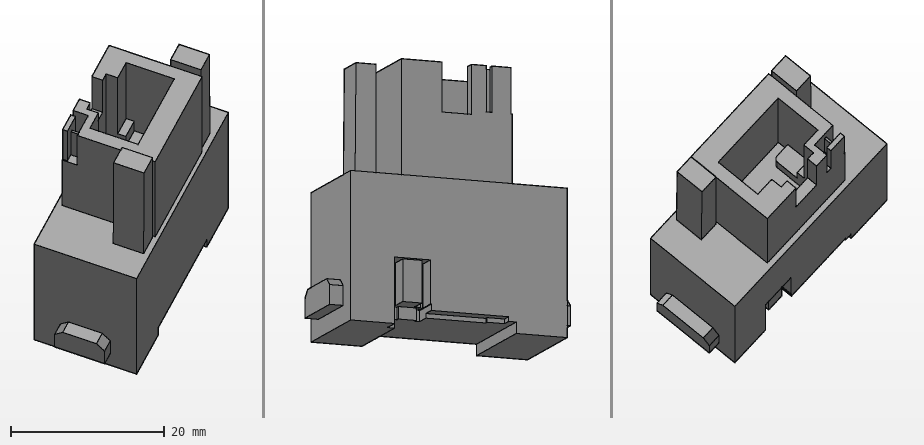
import cadquery as cq

BODY_X = 14.6
BODY_Y = 30.3
BODY_Z = 20.0
FACE_X = -BODY_X / 2
TOTAL_Y = 34.1
TOTAL_Z = 36.7

TOWER_X = (-6.5, 6.75)
TOWER_HALF_Y = 7.75
TOWER_TOP = TOTAL_Z - 1.0

CAVITY_X = (-3.3, 3.55)
CAVITY_HALF_Y = 5.97
CHANNEL_X = -4.95
CHANNEL_HALF_Y = 3.2
WINDOW_HALF_Y = 2.05
WINDOW_SILL = 29.0
LEDGE_END_X = 1.9
LEDGE_TOP = 22.0
LEDGE_FILLET = 0.65
STEP_END_X = -2.15
STEP_TOP = 24.0

NOTCH_X = -4.35
NOTCH_Y = -4.12
NOTCH_FLOOR = 29.5
TAB_THICKNESS = 0.7
TAB_Y = (-7.6, -4.9)
RIB_FAR_Y = -6.1
RIB_NEAR_TOP_Y = -6.4
RIB_NEAR_FOOT_Y = -6.5
RIB_TOP = 34.2

POST_X = (2.15, 6.48)
POST_INNER_Y = 8.0
POST_TOP_Y = 10.8
POST_FOOT_Y = 10.95

PEG_Z = (2.5, 6.15)
PEG_CHAMFER_Z = 1.0
PEG_FRONT_WIDTH = 7.1
PEG_FRONT_CHAMFER = 1.15
PEG_BACK_WIDTH = 9.1
PEG_BACK_CHAMFER = 1.05

FOOT_INNER_Y = 8.0
UNDERSIDE_Z = 1.53

POCKET_Y = (4.0, 9.0)
POCKET_TOP = 8.9
POCKET_BACK_X = -4.65
POCKET_FLARE_Y = 3.88
POCKET_FLARE_TOP = 3.0
RECESS_Y = (4.1, FOOT_INNER_Y)
RECESS_BACK_X = -4.0
LATCH_Y = (4.95, 7.6)
LATCH_FRONT_X = -6.6
LATCH_BOTTOM = 3.2
LOWER_BACK_X = -3.0
LOWER_RIB_Y = (4.53, 7.04)
LOWER_RIB_FRONT_X = -3.5

RELIEF_TOP = 2.15
RELIEF_Y = (-6.93, POCKET_FLARE_Y)
RELIEF_STEP_Y = -4.5
RELIEF_DEPTH = 2.0
RELIEF_END_DEPTH = 1.5


def box(x_range, y_range, z_range):
    """Axis-aligned block given by its limits along X, Y and Z."""
    size = [limits[1] - limits[0] for limits in (x_range, y_range, z_range)]
    corner = (x_range[0], y_range[0], z_range[0])
    return cq.Workplane("XY").box(*size, centered=False).translate(corner)


def symmetric(half):
    return (-half, half)


def make_body():
    body = box(symmetric(BODY_X / 2), symmetric(BODY_Y / 2), (0, BODY_Z))
    return body.cut(box(symmetric(BODY_X / 2), symmetric(FOOT_INNER_Y), (0, UNDERSIDE_Z)))


def make_peg(width, chamfer, side):
    """Chamfered peg running from an end face out to the overall length."""
    half = width / 2
    shoulder = PEG_Z[1] - PEG_CHAMFER_Z
    outline = [
        (-half, PEG_Z[0]),
        (half, PEG_Z[0]),
        (half, shoulder),
        (half - chamfer, PEG_Z[1]),
        (chamfer - half, PEG_Z[1]),
        (-half, shoulder),
    ]
    peg_length = (TOTAL_Y - BODY_Y) / 2
    peg = cq.Workplane("XZ").polyline(outline).close().extrude(-side * peg_length)
    return peg.translate((0, side * BODY_Y / 2, 0))


def make_post(side):
    outline = [
        (side * POST_INNER_Y, BODY_Z),
        (side * POST_FOOT_Y, BODY_Z),
        (side * POST_TOP_Y, TOTAL_Z),
        (side * POST_INNER_Y, TOTAL_Z),
    ]
    post = cq.Workplane("YZ").polyline(outline).close().extrude(POST_X[1] - POST_X[0])
    return post.translate((POST_X[0], 0, 0))


def make_ledge(side):
    """Two-level ledge in one corner of the cavity, beside the middle channel."""
    y_range = sorted((side * CHANNEL_HALF_Y, side * CAVITY_HALF_Y))
    ledge = box((CAVITY_X[0], LEDGE_END_X), y_range, (BODY_Z, LEDGE_TOP))
    inner_corner = f">X and {'<Y' if side > 0 else '>Y'}"
    ledge = ledge.edges("|Z").edges(inner_corner).fillet(LEDGE_FILLET)
    return ledge.union(box((CAVITY_X[0], STEP_END_X), y_range, (BODY_Z, STEP_TOP)))


def make_tower():
    height = (BODY_Z, TOWER_TOP)
    tower = box(TOWER_X, symmetric(TOWER_HALF_Y), height)
    tower = tower.cut(box(CAVITY_X, symmetric(CAVITY_HALF_Y), height))
    tower = tower.cut(box((CHANNEL_X, CAVITY_X[0]), symmetric(CHANNEL_HALF_Y), height))
    window_x = (TOWER_X[0], CHANNEL_X)
    return tower.cut(box(window_x, symmetric(WINDOW_HALF_Y), (WINDOW_SILL, TOWER_TOP)))


def make_corner_notch():
    return box((TOWER_X[0], NOTCH_X), (-TOWER_HALF_Y, NOTCH_Y), (NOTCH_FLOOR, TOWER_TOP))


def make_tab():
    """Upright tab flush with the tower face, and the rib behind it."""
    tab_back_x = TOWER_X[0] + TAB_THICKNESS
    tab = box((TOWER_X[0], tab_back_x), TAB_Y, (NOTCH_FLOOR, TOWER_TOP))
    rib_outline = [
        (RIB_FAR_Y, NOTCH_FLOOR),
        (RIB_NEAR_FOOT_Y, NOTCH_FLOOR),
        (RIB_NEAR_TOP_Y, RIB_TOP),
        (RIB_FAR_Y, RIB_TOP),
    ]
    rib = cq.Workplane("YZ").polyline(rib_outline).close().extrude(NOTCH_X - tab_back_x)
    return tab.union(rib.translate((tab_back_x, 0, 0)))


def make_latch_pocket():
    """Stepped pocket volume, with the latch block and lower rib left standing."""
    pocket = box((FACE_X, POCKET_BACK_X), POCKET_Y, (0, POCKET_TOP))
    flare_y = (POCKET_FLARE_Y, RECESS_Y[0])
    pocket = pocket.union(box((FACE_X, LOWER_BACK_X), flare_y, (0, POCKET_FLARE_TOP)))
    pocket = pocket.union(box((POCKET_BACK_X, RECESS_BACK_X), RECESS_Y, (0, POCKET_TOP)))
    pocket = pocket.union(box((RECESS_BACK_X, LOWER_BACK_X), RECESS_Y, (0, LATCH_BOTTOM)))
    latch = box((LATCH_FRONT_X, RECESS_BACK_X), LATCH_Y, (LATCH_BOTTOM, POCKET_TOP))
    rib = box((LOWER_RIB_FRONT_X, LOWER_BACK_X), LOWER_RIB_Y, (UNDERSIDE_Z, LATCH_BOTTOM))
    return pocket.cut(latch).cut(rib)


def make_relief():
    z_range = (UNDERSIDE_Z, RELIEF_TOP)
    main = box((FACE_X, FACE_X + RELIEF_DEPTH), (RELIEF_STEP_Y, RELIEF_Y[1]), z_range)
    end = box((FACE_X, FACE_X + RELIEF_END_DEPTH), (RELIEF_Y[0], RELIEF_STEP_Y), z_range)
    return main.union(end)


result = make_body().cut(make_latch_pocket()).cut(make_relief())
result = result.union(make_peg(PEG_FRONT_WIDTH, PEG_FRONT_CHAMFER, -1))
result = result.union(make_peg(PEG_BACK_WIDTH, PEG_BACK_CHAMFER, 1))
result = result.union(make_tower().cut(make_corner_notch()).union(make_tab()))
for y_side in (-1, 1):
    result = result.union(make_post(y_side))
    result = result.union(make_ledge(y_side))